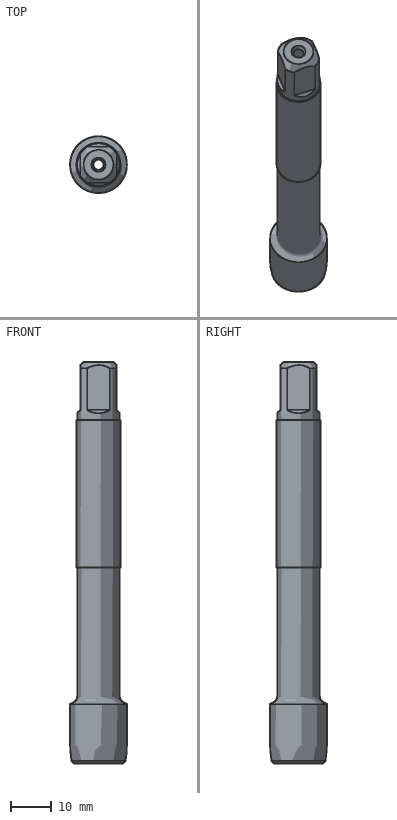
import cadquery as cq
import math

total_length = 100.0
nose_top_z = 4.4
head_top_z = 14.8
guide_bottom_z = 48.7
guide_top_z = 85.6

bore_diameter = 2.5
countersink_diameter = 3.5
tang_diameter = 10.6
shaft_diameter = 10.7
guide_diameter = 11.0
head_diameter = 14.2
nose_edge_diameter = 13.5
nose_face_diameter = 12.1

flat_length = 12.0
across_flats = 9.0
tang_chamfer = 1.6

neck_fillet = 1.3
neck_slope = math.radians(30.0)
countersink_angle = 60.0

bore_radius = bore_diameter / 2
countersink_radius = countersink_diameter / 2
tang_radius = tang_diameter / 2
shaft_radius = shaft_diameter / 2
guide_radius = guide_diameter / 2
head_radius = head_diameter / 2
nose_edge_radius = nose_edge_diameter / 2
nose_face_radius = nose_face_diameter / 2
neck_radius = shaft_radius + neck_fillet * (1 - math.sin(neck_slope))
neck_bottom_z = head_top_z + (head_radius - neck_radius) * math.tan(neck_slope)
neck_top_z = neck_bottom_z + neck_fillet * math.cos(neck_slope)
nose_edge_z = nose_edge_radius - nose_face_radius
nose_height = nose_top_z - nose_edge_z
nose_drop = head_radius - nose_edge_radius
nose_arc_radius = (nose_height**2 + nose_drop**2) / (2 * nose_drop)


def revolve_profile(profile):
    """Close a radius-height half profile and turn it about the Z axis."""
    return profile.close().revolve(360, (0, 0, 0), (0, 1, 0))


def cut_bore(body):
    """Cut the through bore along the Z axis."""
    bore = cq.Workplane("XY").circle(bore_radius).extrude(total_length)
    return body.cut(bore)


def make_countersink():
    """Conical mouth of the bore in the top face."""
    depth = (countersink_radius - bore_radius) / math.tan(math.radians(countersink_angle / 2))
    return revolve_profile(
        cq.Workplane("XZ")
        .moveTo(0, total_length)
        .lineTo(countersink_radius, total_length)
        .lineTo(bore_radius, total_length - depth)
        .lineTo(0, total_length - depth)
    )


def make_flat_cutter():
    """Prism that mills the +X flat, with a 45 degree run-out at its lower end."""
    inner_x = across_flats / 2
    flat_bottom_z = total_length - flat_length
    reach = head_radius - inner_x
    return (
        cq.Workplane("XZ")
        .moveTo(inner_x, flat_bottom_z)
        .lineTo(inner_x, total_length)
        .lineTo(inner_x + reach, total_length)
        .lineTo(inner_x + reach, flat_bottom_z - reach)
        .close()
        .extrude(head_radius, both=True)
    )


def make_shank():
    """Stepped shank with a flared neck at the bottom and a square drive at the top."""
    shank = revolve_profile(
        cq.Workplane("XZ")
        .moveTo(0, head_top_z)
        .lineTo(head_radius, head_top_z)
        .lineTo(neck_radius, neck_bottom_z)
        .radiusArc((shaft_radius, neck_top_z), neck_fillet)
        .lineTo(shaft_radius, guide_bottom_z)
        .lineTo(guide_radius, guide_bottom_z + guide_radius - shaft_radius)
        .lineTo(guide_radius, guide_top_z - guide_radius + tang_radius)
        .lineTo(tang_radius, guide_top_z)
        .lineTo(tang_radius, total_length - tang_chamfer)
        .lineTo(tang_radius - tang_chamfer, total_length)
        .lineTo(0, total_length)
    )
    for angle in (0, 90, 180, 270):
        shank = shank.cut(make_flat_cutter().rotate((0, 0, 0), (0, 0, 1), angle))
    return cut_bore(shank).cut(make_countersink())


def make_head():
    """Cylindrical head whose nose curves inward below a tangent edge and ends in a chamfer."""
    head = revolve_profile(
        cq.Workplane("XZ")
        .lineTo(nose_face_radius, 0)
        .lineTo(nose_edge_radius, nose_edge_z)
        .radiusArc((head_radius, nose_top_z), -nose_arc_radius)
        .lineTo(head_radius, head_top_z)
        .lineTo(0, head_top_z)
    )
    return cut_bore(head)


shank = make_shank()
head = make_head()

result = cq.Compound.makeCompound([shank.val(), head.val()])